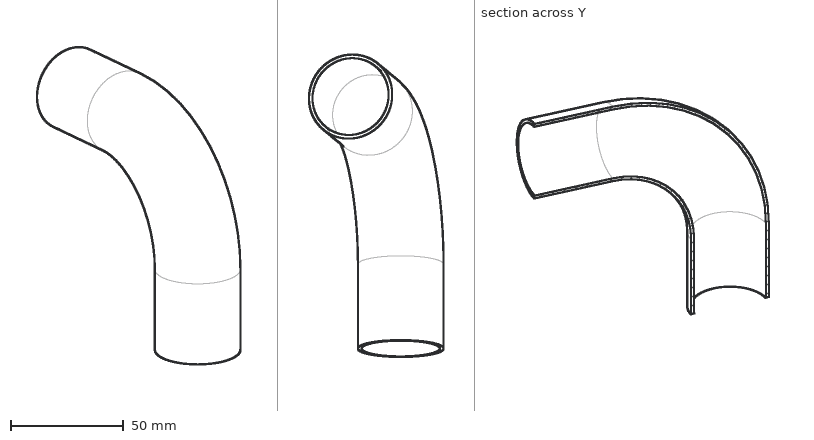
import cadquery as cq

overall_size = 114.3
inner_diameter = 34.7

outer_diameter = overall_size / 3
leg_length = outer_diameter
bend_radius = 1.5 * outer_diameter
bend_angle = 90.0


def elbow_solid(diameter):
    """Solid round bar along X, through the bend, then down along -Z.

    The origin is the centre of the horizontal leg's open end.
    """
    horizontal_leg = cq.Workplane("YZ").circle(diameter / 2).extrude(leg_length)

    bend = (
        cq.Workplane("YZ", origin=(leg_length, 0, 0))
        .circle(diameter / 2)
        .revolve(bend_angle, (0, -bend_radius, 0), (1, -bend_radius, 0))
    )

    vertical_leg = (
        cq.Workplane("XY", origin=(leg_length + bend_radius, 0, -bend_radius))
        .circle(diameter / 2)
        .extrude(-leg_length)
    )
    return horizontal_leg.union(bend).union(vertical_leg)


result = elbow_solid(outer_diameter).cut(elbow_solid(inner_diameter))